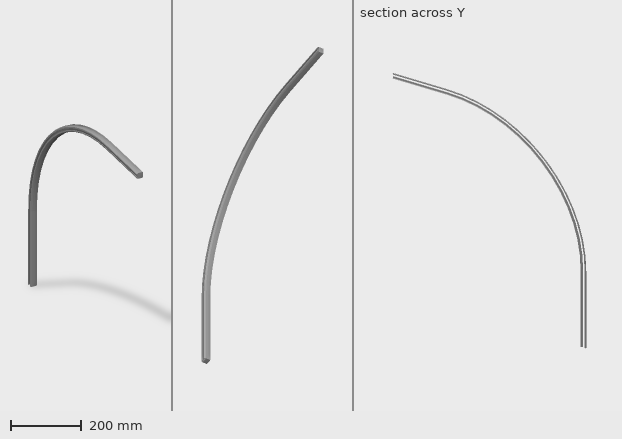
import math

import cadquery as cq

width = 19.0
depth = 19.0
taper_depth = 5.0
taper_angle = 21.0
corner_width = 1.3
corner_depth = 1.6

slot_width = 6.0
lip = 2.0
cavity_width = 15.0
cavity_depth = 5.0

bend_radius = 450.0
lower_length = 250.0
upper_length = 180.0
quarter_turn = 90.0


def rail_section():
    """Outline mirrored about the middle of the rail; the front faces -Y."""
    half_width = width / 2
    front = -depth / 2
    back = depth / 2
    inset = (taper_depth - corner_depth) * math.tan(math.radians(taper_angle))
    shoulder = half_width - inset
    half_outline = [
        (cavity_width / 2, front + cavity_depth),
        (cavity_width / 2, front + lip),
        (slot_width / 2, front + lip),
        (slot_width / 2, front),
        (shoulder - corner_width, front),
        (shoulder, front + corner_depth),
        (half_width, front + taper_depth),
        (half_width, back),
    ]
    mirrored = [(-x, y) for x, y in reversed(half_outline)]
    return cq.Workplane("XY").polyline(half_outline + mirrored).close()


def lower_run():
    return rail_section().extrude(lower_length)


def bend():
    section = rail_section()
    swept = section.revolve(quarter_turn, (bend_radius, 0), (bend_radius, 1))
    return swept.translate((0, 0, lower_length))


def upper_run():
    straight = rail_section().extrude(upper_length).rotate((0, 0, 0), (0, 1, 0), quarter_turn)
    return straight.translate((bend_radius, 0, lower_length + bend_radius))


result = lower_run().union(bend()).union(upper_run())